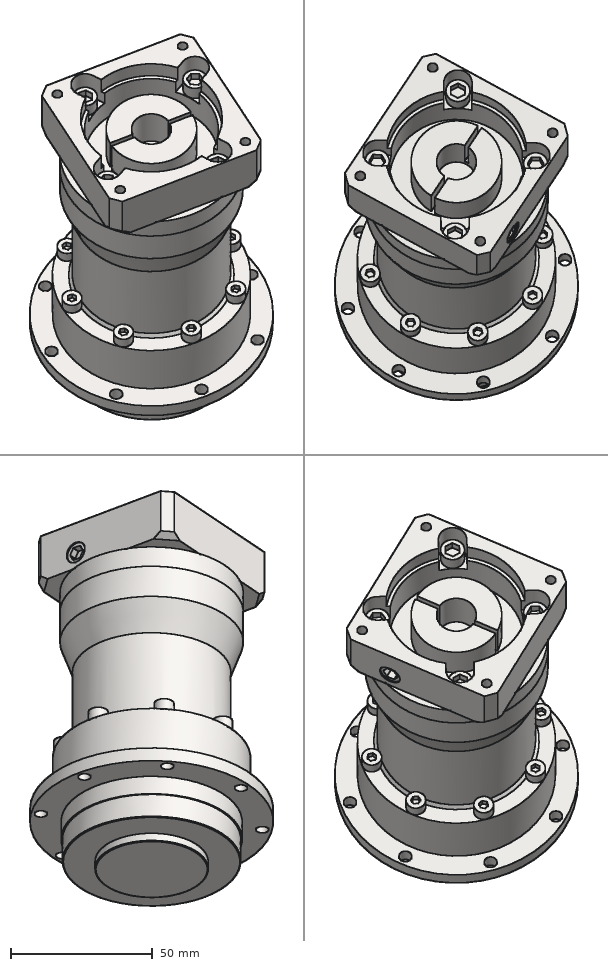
import cadquery as cq
import math

boss_height = 3.2
output_disc_top = 12.4
flange_bottom = 19.5
flange_thickness = 5.2
flange_top = flange_bottom + flange_thickness
ring_top = 45.5
neck_top = 80.5
cone_top = 92.8
adapter_bottom = 105.1
square_bottom = 113.0
adapter_top = 131.5

boss_diameter = 40.0
output_disc_diameter = 63.0
pilot_diameter = 64.0
flange_diameter = 86.0
ring_diameter = 70.0
neck_diameter = 56.0
head_diameter = 64.8
edge_chamfer = 0.3
neck_chamfer = 1.2

around_count = 8
flange_hole_diameter = 4.5
flange_hole_circle = 79.0
ring_screw_head_diameter = 7.0
ring_screw_head_height = 4.2
ring_screw_circle = 62.8
ring_screw_hex = 3.0
ring_screw_hex_depth = 2.0

square_side = 60.0
square_corner_cut = 3.5
corner_underside_chamfer = 2.2
motor_pilot_diameter = 50.0
motor_pilot_depth = 6.5
cavity_diameter = 47.3
cavity_depth = 21.0
cavity_floor = adapter_top - cavity_depth
motor_hole_count = 4
motor_hole_first_angle = 45.0
motor_hole_diameter = 3.5
motor_hole_depth = 10.0
motor_hole_circle = 70.0
drill_point_angle = 118.0

adapter_screw_count = 4
adapter_screw_first_angle = 30.0
adapter_screw_circle = 56.0
adapter_screw_pocket_diameter = 10.0
adapter_screw_pocket_depth = 12.0
adapter_screw_head_diameter = 8.5
adapter_screw_head_height = 5.5
adapter_screw_hex = 5.0
adapter_screw_hex_depth = 3.0

plug_diameter = 8.0
plug_recess = 0.5
plug_hex = 5.0
plug_hex_depth = 3.0
plug_y = 11.0
plug_z = adapter_top - 12.0

hub_diameter = 32.0
hub_bore_diameter = 14.0
hub_foot_diameter = 20.0
hub_foot_height = 2.0
hub_top = adapter_top - 6.1
hub_slot_width = 1.5


def cylinder(diameter, bottom, top):
    """Upright cylinder on the gearbox axis."""
    return cq.Workplane("XY").workplane(offset=bottom).circle(diameter / 2).extrude(top - bottom)


def hex_corner_diameter(across_flats):
    return across_flats / math.cos(math.pi / 6)


def socket_head(diameter, bottom, height, hex_size, hex_depth):
    """Cap-screw head on the Z axis with a hexagon socket in its top."""
    head = cylinder(diameter, bottom, bottom + height)
    return head.faces(">Z").workplane().polygon(6, hex_corner_diameter(hex_size)).cutBlind(-hex_depth)


def around_axis(shape, circle_diameter, count, first_angle=0.0):
    """Copies of a shape from the Z axis, spread evenly over a circle."""
    moved = shape.translate((circle_diameter / 2, 0, 0))
    step = 360.0 / count
    return [moved.rotate((0, 0, 0), (0, 0, 1), first_angle + i * step) for i in range(count)]


def make_gearbox():
    """Output boss, mounting flange, screw ring, neck and head in one stepped body."""
    body = cylinder(boss_diameter, 0, boss_height).faces("<Z").chamfer(edge_chamfer)
    disc = cylinder(output_disc_diameter, boss_height, output_disc_top).faces("<Z").chamfer(edge_chamfer)
    body = body.union(disc)
    body = body.union(cylinder(pilot_diameter, output_disc_top, flange_bottom))
    body = body.union(cylinder(flange_diameter, flange_bottom, flange_top))
    body = body.union(cylinder(ring_diameter, flange_top, ring_top))

    neck_and_head = (
        cq.Workplane("XZ")
        .moveTo(0, ring_top)
        .lineTo(neck_diameter / 2 + neck_chamfer, ring_top)
        .lineTo(neck_diameter / 2, ring_top + neck_chamfer)
        .lineTo(neck_diameter / 2, neck_top)
        .lineTo(head_diameter / 2, cone_top)
        .lineTo(head_diameter / 2, adapter_bottom)
        .lineTo(0, adapter_bottom)
        .close()
        .revolve(360, (0, 0, 0), (0, 1, 0))
    )
    body = body.union(neck_and_head)

    flange_hole = cylinder(flange_hole_diameter, flange_bottom, flange_top)
    for hole in around_axis(flange_hole, flange_hole_circle, around_count):
        body = body.cut(hole)

    screw = socket_head(
        ring_screw_head_diameter, ring_top, ring_screw_head_height, ring_screw_hex, ring_screw_hex_depth
    )
    for head in around_axis(screw, ring_screw_circle, around_count):
        body = body.union(head)
    return body


def make_adapter_block():
    """Square block with trimmed, chamfered corners on a round base."""
    square_height = adapter_top - square_bottom
    square = (
        cq.Workplane("XY")
        .workplane(offset=square_bottom)
        .rect(square_side, square_side)
        .extrude(square_height)
    )
    corner_span = math.sqrt(2) * (square_side - square_corner_cut)
    corner_limit = (
        cq.Workplane("XY")
        .workplane(offset=square_bottom)
        .rect(corner_span, corner_span)
        .extrude(square_height)
        .faces("<Z")
        .chamfer(corner_underside_chamfer)
        .rotate((0, 0, 0), (0, 0, 1), 45)
    )
    return square.intersect(corner_limit).union(cylinder(head_diameter, adapter_bottom, square_bottom))


def make_screw_pocket():
    """Round pocket on the Z axis with a slot of equal width toward the gearbox axis."""
    bottom = adapter_top - adapter_screw_pocket_depth
    slot_length = adapter_screw_circle / 2
    slot = (
        cq.Workplane("XY")
        .workplane(offset=bottom)
        .center(-slot_length / 2, 0)
        .rect(slot_length, adapter_screw_pocket_diameter)
        .extrude(adapter_screw_pocket_depth)
    )
    return cylinder(adapter_screw_pocket_diameter, bottom, adapter_top).union(slot)


def make_motor_hole():
    """Blind hole on the Z axis with a drill point."""
    radius = motor_hole_diameter / 2
    bottom = adapter_top - motor_hole_depth
    point_height = radius / math.tan(math.radians(drill_point_angle / 2))
    return (
        cq.Workplane("XZ")
        .moveTo(0, adapter_top)
        .lineTo(radius, adapter_top)
        .lineTo(radius, bottom)
        .lineTo(0, bottom - point_height)
        .close()
        .revolve(360, (0, 0, 0), (0, 1, 0))
    )


def make_adapter():
    """Motor adapter with its cavity, screw heads, motor holes and access plug."""
    body = make_adapter_block()
    body = body.cut(cylinder(motor_pilot_diameter, adapter_top - motor_pilot_depth, adapter_top))
    body = body.cut(cylinder(cavity_diameter, cavity_floor, adapter_top))

    screw_places = (adapter_screw_circle, adapter_screw_count, adapter_screw_first_angle)
    for pocket in around_axis(make_screw_pocket(), *screw_places):
        body = body.cut(pocket)
    screw = socket_head(
        adapter_screw_head_diameter,
        adapter_top - adapter_screw_pocket_depth,
        adapter_screw_head_height,
        adapter_screw_hex,
        adapter_screw_hex_depth,
    )
    for head in around_axis(screw, *screw_places):
        body = body.union(head)

    for hole in around_axis(make_motor_hole(), motor_hole_circle, motor_hole_count, motor_hole_first_angle):
        body = body.cut(hole)

    side_plane = cq.Workplane("YZ", origin=(-square_side / 2, plug_y, plug_z))
    recess = side_plane.circle(plug_diameter / 2).extrude(plug_recess)
    socket = side_plane.polygon(6, hex_corner_diameter(plug_hex)).extrude(plug_recess + plug_hex_depth)
    return body.cut(recess).cut(socket)


def make_hub():
    """Clamping ring, slotted down to the foot that stands on the cavity floor."""
    foot_top = cavity_floor + hub_foot_height
    ring = cylinder(hub_diameter, foot_top, hub_top)
    slot = (
        cq.Workplane("XY")
        .workplane(offset=foot_top)
        .rect(hub_slot_width, hub_diameter)
        .extrude(hub_top - foot_top)
    )
    foot = cylinder(hub_foot_diameter, cavity_floor, foot_top)
    bore = cylinder(hub_bore_diameter, cavity_floor, hub_top)
    return ring.cut(slot).union(foot).cut(bore)


gearbox = make_gearbox()
adapter = make_adapter()
hub = make_hub()

result = cq.Compound.makeCompound([gearbox.val(), adapter.val(), hub.val()])